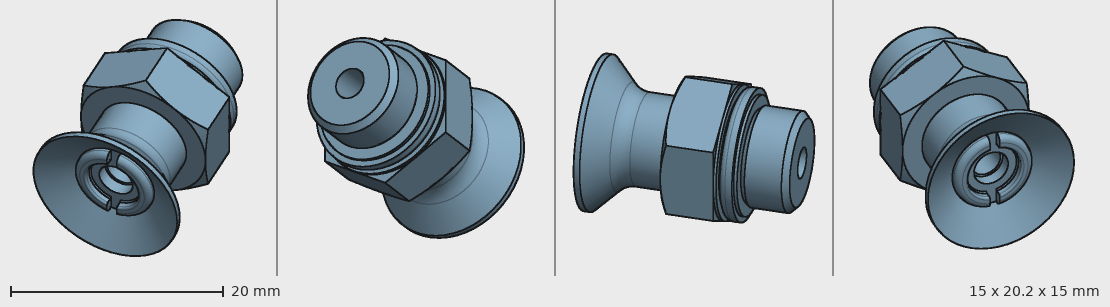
import cadquery as cq
import math

length = 20.2

cup_radius = 15.0 / 2
rim_width = 0.6
neck_radius = 9.0 / 2
neck_blend_end = 4.63
cup_slope = math.radians(45)

ring_radius = 8.0 / 2
ring_tip_y = 1.41
ring_round = 0.63
ring_mouth_radius = 2.95
ring_bore_radius = 2.73
ring_foot_radius = 2.6
ring_foot_height = 0.18
ring_mouth_round = ring_mouth_radius - ring_bore_radius
cup_floor_y = 2.32
slot_width = 1.0

wide_bore_radius = 3.5 / 2
bore_radius = 3.0 / 2
bore_step_y = 3.6

across_corners = 15.0
across_flats = across_corners * math.cos(math.pi / 6)
hex_front_y = 8.2
hex_back_y = 13.37
hex_chamfer_width = 0.57

collar_radius = 13.0 / 2
collar_back_y = 13.65
seal_seat_radius = 11.1 / 2
seal_front_y = 13.82
seal_round_end_y = 14.46
seal_back_y = 15.17
seal_radius = 12.8 / 2
washer_radius = 11.6 / 2
washer_back_y = 15.5
spigot_radius = 9.74 / 2
spigot_relief_radius = 4.5
spigot_front_y = 15.95
spigot_chamfer = 0.63


def revolve(profile):
    """Turn a closed (radius, Y) profile about the Y axis."""
    return profile.close().revolve(360, (0, 0, 0), (0, 1, 0))


def disc(radius, start_y, end_y):
    """Solid cylinder along Y."""
    return revolve(cq.Workplane("XY").moveTo(0, start_y).lineTo(radius, start_y)
                   .lineTo(radius, end_y).lineTo(0, end_y))


def make_cup_and_neck():
    blend_tangent = math.tan(cup_slope / 2)
    cone_meets_neck_y = rim_width + (cup_radius - neck_radius) / math.tan(cup_slope)
    blend_radius = (neck_blend_end - cone_meets_neck_y) / blend_tangent

    def blend_point(angle):
        radius = neck_radius + blend_radius * (1 - math.cos(angle))
        return radius, neck_blend_end - blend_radius * math.sin(angle)

    return revolve(
        cq.Workplane("XY").moveTo(0, cup_floor_y)
        .lineTo(ring_radius, cup_floor_y)
        .lineTo(cup_radius, 0)
        .lineTo(cup_radius, rim_width)
        .lineTo(*blend_point(cup_slope))
        .threePointArc(blend_point(cup_slope / 2), blend_point(0))
        .lineTo(neck_radius, hex_front_y)
        .lineTo(0, hex_front_y)
    )


def make_ring():
    arc_offset = 1 - math.sqrt(0.5)
    ring = revolve(
        cq.Workplane("XY").moveTo(ring_foot_radius, cup_floor_y)
        .lineTo(ring_bore_radius, cup_floor_y - ring_foot_height)
        .lineTo(ring_bore_radius, ring_tip_y + ring_mouth_round)
        .threePointArc(
            (ring_bore_radius + ring_mouth_round * arc_offset, ring_tip_y + ring_mouth_round * arc_offset),
            (ring_mouth_radius, ring_tip_y))
        .lineTo(ring_radius - ring_round, ring_tip_y)
        .threePointArc(
            (ring_radius - ring_round * arc_offset, ring_tip_y + ring_round * arc_offset),
            (ring_radius, ring_tip_y + ring_round))
        .lineTo(ring_radius, cup_floor_y)
    )
    slot = cq.Workplane("XY").box(slot_width, cup_floor_y, across_corners, centered=(True, False, True))
    return ring.cut(slot)


def make_hexagon():
    hexagon = (
        cq.Workplane("XZ", origin=(0, hex_back_y, 0))
        .polygon(6, across_corners)
        .extrude(hex_back_y - hex_front_y)
        .rotate((0, 0, 0), (0, 1, 0), 30)
    )
    bevel_envelope = revolve(
        cq.Workplane("XY").moveTo(0, hex_front_y)
        .lineTo(across_flats / 2, hex_front_y)
        .lineTo(across_corners / 2, hex_front_y + hex_chamfer_width)
        .lineTo(across_corners / 2, hex_back_y)
        .lineTo(0, hex_back_y)
    )
    return hexagon.intersect(bevel_envelope)


def make_collar_and_seal():
    collar = disc(collar_radius, hex_back_y, collar_back_y)
    seat = disc(seal_seat_radius, collar_back_y, seal_front_y)
    seal_round = seal_round_end_y - seal_front_y
    seal = disc(seal_radius, seal_front_y, seal_back_y).faces("<Y").edges().fillet(seal_round)
    washer = disc(washer_radius, seal_back_y, washer_back_y)
    return collar.union(seat).union(seal).union(washer)


def make_spigot():
    return revolve(
        cq.Workplane("XY").moveTo(0, washer_back_y)
        .lineTo(spigot_relief_radius, washer_back_y)
        .lineTo(spigot_radius, spigot_front_y)
        .lineTo(spigot_radius, length - spigot_chamfer)
        .lineTo(spigot_radius - spigot_chamfer, length)
        .lineTo(0, length)
    )


body = (
    make_cup_and_neck()
    .union(make_ring())
    .union(make_hexagon())
    .union(make_collar_and_seal())
    .union(make_spigot())
)
wide_bore = disc(wide_bore_radius, 0, bore_step_y)
through_bore = disc(bore_radius, 0, length)
result = body.cut(wide_bore).cut(through_bore)